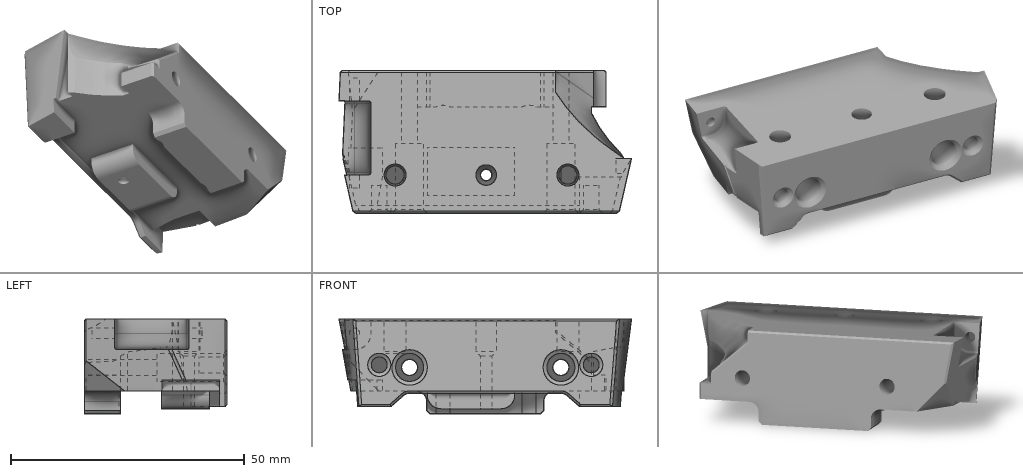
import cadquery as cq
import math

LENGTH = 62.68
DEPTH = 30.6
HEIGHT = 20.35
HALF_LENGTH = LENGTH / 2
CLEARANCE = 5.0
EDGE_CHAMFER = 0.5
BACK_CHAMFER = 0.4

UNDERSIDE_Z = -15.5
TAB_Z = -18.8
STOP_Z = -19.25

FRONT_END_LEAN = 0.23
LEFT_FRONT_DRAFT = 0.07
RIGHT_FRONT_DRAFT = 0.08
LEFT_CORNER_X = -28.25
BACK_END_LEAN = 0.045
BACK_END_DRAFT = 0.195
BACK_END_Y = 24.1

POCKET_FRONT_Y = 8.2
POCKET_BACK_Y = BACK_END_Y
POCKET_X = -24.5
POCKET_DEPTH = 6.6
POCKET_RADIUS = 3.5
POCKET_CORNER = 0.55
PIN_DIAMETER = 2.2
PIN_START_Y = 5.4
PIN_END_Y = 29.0

TAB_INNER_X = 20.2
TAB_TOP_X = 17.0
TAB_BLEND = 2.0
LEFT_TAB_THICKNESS = 1.7
RIGHT_TAB_TOP_Y = 11.75
RIGHT_TAB_BOTTOM_Y = 7.8
WALL_Z = -15.95

RECESS_Z = -13.1
RECESS_BACK_Y = 14.0
RECESS_X = -22.0
RECESS_BEND_Y = 7.8
RECESS_LEAN = 0.19

NECK_X = 22.8
LEDGE_START_X = 23.2
LEDGE_END_X = 25.9
LEDGE_FRONT_Y = 22.8
LEDGE_Z = -12.0
SCOOP_TAIL = (28.9, 13.0)
SCOOP_MIDDLE = (25.7, 16.6)
SCOOP_NECK = (NECK_X, 21.4)
RIGHT_STEP_X = 29.7
RIGHT_TAB_SLOPE_X = 28.0

TROUGH_RADIUS = 15.5
TROUGH_HEADING = -35.0
TROUGH_TILT = 34.0
TROUGH_AXIS_OFFSET = 42.2
TROUGH_AXIS_RISE = 8.0
TROUGH_EDGE_OFFSET = 33.5
TROUGH_FLAT_FALL = 23.4
TROUGH_HALF_LENGTH = 50.0
TROUGH_START_X = 15.0

PAD_HALF_WIDTH = 12.55
PAD_FRONT_Y = 22.8
PAD_FLARE = 2.2
PAD_CHAMFER = 0.7

STOP_X = (-12.4, 6.3)
STOP_Y = (3.8, 14.1)
STOP_RADIUS = 2.9

SCREW_X = 16.2
SCREW_Z = -10.4
SCREW_DIAMETER = 3.4
SCREW_HEAD_DIAMETER = 6.0
SCREW_MOUTH_DIAMETER = 7.6
SCREW_HEAD_DEPTH = 15.0
DOWEL_X = 22.7
DOWEL_Z = -9.85
DOWEL_DIAMETER = 3.4
DOWEL_MOUTH_DIAMETER = 4.95
DOWEL_DEPTH = 6.0
TOP_HOLE_Y = 8.2
TOP_DOWELS_X = (-19.3, 17.7)
TOP_DOWEL_DIAMETER = 4.7
TOP_DOWEL_FLOOR_DIAMETER = 3.9
TOP_HOLE_DEPTH = 7.0
VENT_X = 0.2
VENT_MOUTH_DIAMETER = 4.4
VENT_DIAMETER = 2.4

GROOVE_RADIUS = 0.35

FACET_POINT = (-28.27, 22.4, -15.3)
FACET_NORMAL = (-1, 0.65, -0.97)

SCALLOPS_X = (-9.05, 9.4)
SCALLOP_RADIUS = 3.4
SCALLOP_HALF_WIDTH = 1.5


def box(x0, x1, y0, y1, z0, z1):
    """Box given by its extents."""
    return cq.Workplane("XY").box(x1 - x0, y1 - y0, z1 - z0, centered=False).translate((x0, y0, z0))


def half_space(point, normal):
    """Large block filling the side of a plane that its normal points to."""
    size = 4 * LENGTH
    return cq.Workplane(cq.Plane(origin=point, normal=normal)).rect(size, size).extrude(LENGTH)


def xz_prism(profile, y0, y1):
    """Extrude a closed XZ profile from y0 to y1."""
    return profile.extrude(-(y1 - y0)).translate((0, y0, 0))


def revolved_hole(steps, start, axis):
    """Tool of revolution from (depth, diameter) pairs, going along axis from start."""
    first_depth = steps[0][0]
    last_depth = steps[-1][0]
    points = [(0, first_depth)] + [(d / 2, depth) for depth, d in steps] + [(0, last_depth)]
    tool = cq.Workplane("XZ").polyline(points).close().revolve(360, (0, 0, 0), (0, 1, 0))
    plane = cq.Plane(origin=start, normal=axis)
    return cq.Workplane(tool.val().located(cq.Location(plane)))


def crease_y(z):
    """Y where the front and back planes of the left end meet at level z."""
    front_x = LEFT_CORNER_X - LEFT_FRONT_DRAFT * z
    back_x = -HALF_LENGTH - BACK_END_LEAN * BACK_END_Y - BACK_END_DRAFT * z
    return (front_x - back_x) / (FRONT_END_LEAN + BACK_END_LEAN)


def make_block():
    """Plain block with drafted ends, a notched front wall and broken front and back edges."""
    block = box(-HALF_LENGTH, HALF_LENGTH, 0, DEPTH, TAB_Z, 0)
    gap = (
        cq.Workplane("XZ")
        .moveTo(-TAB_INNER_X, TAB_Z)
        .lineTo(-TAB_TOP_X, WALL_Z)
        .lineTo(TAB_TOP_X, WALL_Z)
        .lineTo(TAB_INNER_X, TAB_Z)
        .close()
    )
    block = block.cut(xz_prism(gap, 0, DEPTH).edges("|Y and >Z").fillet(TAB_BLEND))
    right_corner = (HALF_LENGTH, RIGHT_TAB_TOP_Y, 0)
    block = block.cut(half_space((LEFT_CORNER_X, 0, 0), (-1, -FRONT_END_LEAN, -LEFT_FRONT_DRAFT)))
    block = block.cut(half_space(right_corner, (1, -FRONT_END_LEAN, -RIGHT_FRONT_DRAFT)))
    block = block.cut(half_space((-HALF_LENGTH, BACK_END_Y, 0), (-1, BACK_END_LEAN, -BACK_END_DRAFT)))
    block = block.faces("<Y").edges().chamfer(EDGE_CHAMFER)
    return block.faces(">Y").edges("<X or >Z").chamfer(BACK_CHAMFER)


def clear_underside(body):
    """Raise the underside behind the front wall, leaving only the deeper right tab."""
    body = body.cut(box(-HALF_LENGTH, TAB_INNER_X, LEFT_TAB_THICKNESS, DEPTH, TAB_Z, UNDERSIDE_Z))
    return body.cut(box(0, HALF_LENGTH, RIGHT_TAB_BOTTOM_Y, DEPTH, TAB_Z, UNDERSIDE_Z))


def shape_left_end(body):
    """Bottom corner facet, recess behind the tab and a groove along the crease."""
    body = body.cut(half_space(FACET_POINT, FACET_NORMAL))
    recess_front_x = RECESS_X - RECESS_LEAN * (RECESS_BEND_Y - LEFT_TAB_THICKNESS)
    recess = (
        cq.Workplane("XY")
        .moveTo(-HALF_LENGTH, LEFT_TAB_THICKNESS)
        .lineTo(recess_front_x, LEFT_TAB_THICKNESS)
        .lineTo(RECESS_X, RECESS_BEND_Y)
        .lineTo(RECESS_X, RECESS_BACK_Y)
        .lineTo(-HALF_LENGTH, RECESS_BACK_Y)
        .close()
        .extrude(-HEIGHT - RECESS_Z)
        .translate((0, 0, RECESS_Z))
    )
    body = body.cut(recess)

    def crease_point(z):
        y = crease_y(z)
        return cq.Vector(LEFT_CORNER_X - FRONT_END_LEAN * y - LEFT_FRONT_DRAFT * z, y, z)

    top = crease_point(0)
    along = crease_point(TAB_Z) - top
    groove = cq.Solid.makeCylinder(GROOVE_RADIUS, along.Length, top, along)
    return body.cut(cq.Workplane(groove))


def cut_left_pocket(body):
    """Pocket with a rounded floor corner and a pin hole along its length."""
    pocket = box(-HALF_LENGTH - CLEARANCE, POCKET_X, POCKET_FRONT_Y, POCKET_BACK_Y, -POCKET_DEPTH, CLEARANCE)
    pocket = pocket.edges(">X and <Z").fillet(POCKET_RADIUS)
    pocket = pocket.faces("<Y or >Y").edges().fillet(POCKET_CORNER)
    pin = cq.Solid.makeCylinder(
        PIN_DIAMETER / 2,
        PIN_END_Y - PIN_START_Y,
        cq.Vector(POCKET_X - POCKET_RADIUS, PIN_START_Y, POCKET_RADIUS - POCKET_DEPTH),
        cq.Vector(0, 1, 0),
    )
    return body.cut(pocket).cut(cq.Workplane(pin))


def shape_right_end(body):
    """Curved relief behind the front section, leaving a neck and a low back ledge."""
    outside = HALF_LENGTH + CLEARANCE
    relief = (
        cq.Workplane("XY")
        .moveTo(outside, RIGHT_TAB_TOP_Y)
        .lineTo(RIGHT_STEP_X, RIGHT_TAB_TOP_Y)
        .lineTo(*SCOOP_TAIL)
        .threePointArc(SCOOP_MIDDLE, SCOOP_NECK)
        .lineTo(NECK_X, LEDGE_FRONT_Y)
        .lineTo(LEDGE_END_X, LEDGE_FRONT_Y)
        .lineTo(LEDGE_END_X, DEPTH)
        .lineTo(outside, DEPTH)
        .close()
        .extrude(-HEIGHT)
    )
    body = body.cut(relief)
    slope_normal = (0, -TAB_Z, RIGHT_TAB_BOTTOM_Y - RIGHT_TAB_TOP_Y)
    slope = half_space((0, RIGHT_TAB_TOP_Y, 0), slope_normal)
    body = body.cut(slope.intersect(box(RIGHT_TAB_SLOPE_X, outside, 0, RIGHT_TAB_TOP_Y, -HEIGHT, 0)))
    body = body.cut(box(LEDGE_START_X, outside, LEDGE_FRONT_Y, DEPTH, LEDGE_Z, 0))
    ledge_middle_z = (LEDGE_Z + UNDERSIDE_Z) / 2
    ledge_corner = cq.selectors.NearestToPointSelector((LEDGE_END_X, DEPTH, ledge_middle_z))
    return body.edges(ledge_corner).chamfer(BACK_CHAMFER)


def cut_trough(body):
    """Descending cylindrical trough, continued on its back side by a sloping flat."""
    heading = math.radians(TROUGH_HEADING)
    tilt = math.radians(TROUGH_TILT)
    axis = cq.Vector(
        math.cos(heading) * math.cos(tilt),
        math.sin(heading) * math.cos(tilt),
        -math.sin(tilt),
    )
    across = cq.Vector(-math.sin(heading), math.cos(heading), 0)
    section = cq.Plane(origin=(0, 0, 0), xDir=across, normal=axis)

    def arc_point(degrees):
        angle = math.radians(degrees)
        return (
            TROUGH_AXIS_OFFSET + TROUGH_RADIUS * math.cos(angle),
            TROUGH_AXIS_RISE + TROUGH_RADIUS * math.sin(angle),
        )

    edge_angle = 180 + math.degrees(math.acos((TROUGH_AXIS_OFFSET - TROUGH_EDGE_OFFSET) / TROUGH_RADIUS))
    edge = arc_point(edge_angle)
    flat_run = 2 * TROUGH_RADIUS
    flat_end = (edge[0] + flat_run, edge[1] - flat_run * math.tan(math.radians(TROUGH_FLAT_FALL)))
    side = arc_point(180)
    high = side[1] + HALF_LENGTH
    tool = (
        cq.Workplane(section)
        .moveTo(*edge)
        .threePointArc(arc_point((180 + edge_angle) / 2), side)
        .lineTo(side[0], high)
        .lineTo(flat_end[0], high)
        .lineTo(*flat_end)
        .close()
        .extrude(TROUGH_HALF_LENGTH, both=True)
    )
    reach = box(TROUGH_START_X, LENGTH, RIGHT_TAB_TOP_Y, LENGTH, -HEIGHT, CLEARANCE)
    body = body.cut(tool.intersect(reach))

    fall = math.radians(TROUGH_FLAT_FALL)
    flat_normal = across * math.sin(fall) + section.yDir * math.cos(fall)
    on_flat = section.toWorldCoords(edge)
    rise = (flat_normal.y * (DEPTH - BACK_CHAMFER - on_flat.y)) / flat_normal.z
    bevel_point = cq.Vector(on_flat.x, DEPTH - BACK_CHAMFER, on_flat.z - rise)
    bevel_normal = flat_normal + cq.Vector(0, 1, 0)
    bevel = half_space(bevel_point.toTuple(), bevel_normal.toTuple())
    return body.cut(bevel.intersect(reach))


def add_pad(body):
    """Pad under the back edge, flared where it meets the underside."""
    pad = (
        cq.Workplane("XZ")
        .moveTo(-PAD_HALF_WIDTH - PAD_FLARE, UNDERSIDE_Z)
        .radiusArc((-PAD_HALF_WIDTH, UNDERSIDE_Z - PAD_FLARE), PAD_FLARE)
        .lineTo(-PAD_HALF_WIDTH, -HEIGHT)
        .lineTo(PAD_HALF_WIDTH, -HEIGHT)
        .lineTo(PAD_HALF_WIDTH, UNDERSIDE_Z - PAD_FLARE)
        .radiusArc((PAD_HALF_WIDTH + PAD_FLARE, UNDERSIDE_Z), PAD_FLARE)
        .close()
    )
    solid = xz_prism(pad, PAD_FRONT_Y, DEPTH).edges("|Y and <Z").chamfer(PAD_CHAMFER)
    axis_gap = math.sqrt(SCALLOP_RADIUS**2 - SCALLOP_HALF_WIDTH**2)
    scallops = (
        cq.Workplane("XY")
        .pushPoints([(x, PAD_FRONT_Y - axis_gap) for x in SCALLOPS_X])
        .circle(SCALLOP_RADIUS)
        .extrude(-HEIGHT - CLEARANCE)
    )
    return body.union(solid.cut(scallops))


def add_stop(body):
    """Block under the middle with rounded lower side edges."""
    stop = box(*STOP_X, *STOP_Y, STOP_Z, UNDERSIDE_Z)
    return body.union(stop.edges("|Y and <Z").fillet(STOP_RADIUS))


def drill_front(body):
    """Counterbored screw holes through to the back, with a dowel hole beside each."""
    bevel = (SCREW_MOUTH_DIAMETER - SCREW_HEAD_DIAMETER) / 2
    screw = [
        (0, SCREW_MOUTH_DIAMETER),
        (bevel, SCREW_HEAD_DIAMETER),
        (SCREW_HEAD_DEPTH, SCREW_HEAD_DIAMETER),
        (SCREW_HEAD_DEPTH, SCREW_DIAMETER),
        (DEPTH, SCREW_DIAMETER),
    ]
    dowel_bevel = (DOWEL_MOUTH_DIAMETER - DOWEL_DIAMETER) / 2
    dowel = [(0, DOWEL_MOUTH_DIAMETER), (dowel_bevel, DOWEL_DIAMETER), (DOWEL_DEPTH, DOWEL_DIAMETER)]
    for side in (-1, 1):
        body = body.cut(revolved_hole(screw, (side * SCREW_X, 0, SCREW_Z), (0, 1, 0)))
        body = body.cut(revolved_hole(dowel, (side * DOWEL_X, 0, DOWEL_Z), (0, 1, 0)))
    return body


def drill_top(body):
    """Two blind dowel holes with bevelled floors and a stepped vent hole between them."""
    floor_bevel = (TOP_DOWEL_DIAMETER - TOP_DOWEL_FLOOR_DIAMETER) / 2
    dowel = [
        (0, TOP_DOWEL_DIAMETER),
        (TOP_HOLE_DEPTH, TOP_DOWEL_DIAMETER),
        (TOP_HOLE_DEPTH + floor_bevel, TOP_DOWEL_FLOOR_DIAMETER),
    ]
    for x in TOP_DOWELS_X:
        body = body.cut(revolved_hole(dowel, (x, TOP_HOLE_Y, 0), (0, 0, -1)))
    vent_bevel = (VENT_MOUTH_DIAMETER - VENT_DIAMETER) / 2
    vent = [
        (0, VENT_MOUTH_DIAMETER),
        (TOP_HOLE_DEPTH, VENT_MOUTH_DIAMETER),
        (TOP_HOLE_DEPTH + vent_bevel, VENT_DIAMETER),
        (HEIGHT, VENT_DIAMETER),
    ]
    return body.cut(revolved_hole(vent, (VENT_X, TOP_HOLE_Y, 0), (0, 0, -1)))


body = make_block()
body = clear_underside(body)
body = shape_left_end(body)
body = cut_left_pocket(body)
body = shape_right_end(body)
body = cut_trough(body)
body = add_pad(body)
body = add_stop(body)
body = drill_front(body)
result = drill_top(body)